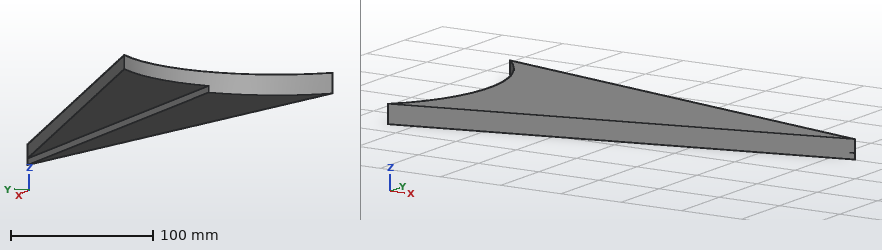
import cadquery as cq

length = 337.2
width = 161.2
thickness = 15.0
thin_thickness = 10.0
arc_depth = 33.5

half_width = width / 2
step_height = thickness - thin_thickness


def arrowhead_plate():
    """Long triangular plate whose short end is a concave arc."""
    return (
        cq.Workplane("XY")
        .moveTo(0, -half_width)
        .lineTo(length, 0)
        .lineTo(0, half_width)
        .threePointArc((arc_depth, 0), (0, -half_width))
        .close()
        .extrude(thickness)
    )


def underside_step():
    """Block that thins the +Y half from below, up to the centre line."""
    return cq.Workplane("XY").box(length, half_width, step_height, centered=False)


result = arrowhead_plate().cut(underside_step())